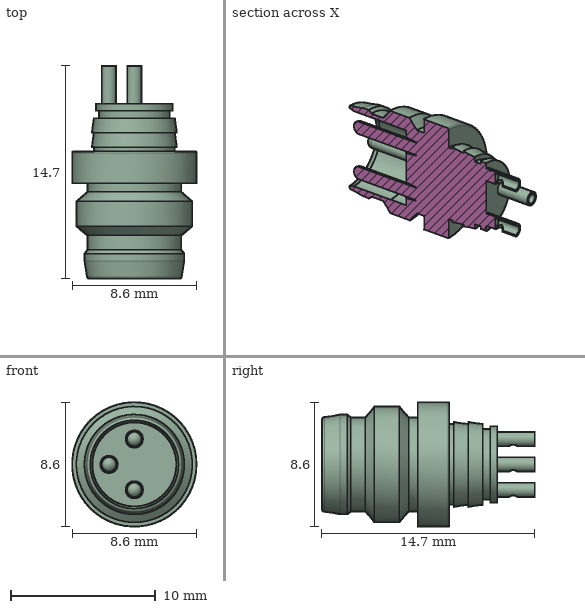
import cadquery as cq


BODY_RADIUS = 6.5 / 2
LIP_RADIUS = 6.9 / 2
RING_RADIUS = 8.0 / 2
FLANGE_RADIUS = 8.6 / 2
LIP_TAPER_END = 1.25
LIP_END = 1.75
NECK_START = 2.0
RING_START = 3.0
RING_FULL_START = 3.63
RING_FULL_END = 5.35
RING_END = 6.0
FLANGE_START = 6.6
FLANGE_END = 8.8
FLANGE_FILLET = 0.1
MOUTH_FILLET = 0.2

INSULATOR_RADIUS = 5.6 / 2
BARB_RADIUS = 5.88 / 2
GROOVE_RADIUS = 4.9 / 2
DISC_RADIUS = 5.3 / 2
FRONT_BARB_CREST = 9.1
BARB_PITCH = 1.0
REAR_BARB_CREST = FRONT_BARB_CREST + BARB_PITCH
GROOVE_START = REAR_BARB_CREST + BARB_PITCH
DISC_START = 11.6
DISC_END = 12.1

SOCKET_RADIUS = 5.8 / 2
SOCKET_REAR_RADIUS = 5.78 / 2
SOCKET_MOUTH_RADIUS = 3.05
SOCKET_TAPER_DEPTH = 0.43
SOCKET_STEP_DEPTH = 3.7
SOCKET_DEPTH = 5.0

PIN_RADIUS = 1.0 / 2
PIN_OFFSET = 1.75
PIN_POSITIONS = [(0, PIN_OFFSET), (-PIN_OFFSET, 0), (0, -PIN_OFFSET)]
PIN_TIP = 0.4
TAIL_END = 14.7
PIN_RECESS_RADIUS = 1.2 / 2
PIN_RECESS_DEPTH = 1.0
CUP_RADIUS = 0.7 / 2
VENT_RADIUS = 0.6 / 2
VENT_Y = 13.2
CUP_DEPTH = TAIL_END - VENT_Y + VENT_RADIUS


def revolve_about_y(profile):
    return profile.close().revolve(360, (0, 0, 0), (0, 1, 0))


def make_body():
    metal_shell = [
        (0, 0),
        (BODY_RADIUS, 0),
        (LIP_RADIUS, LIP_TAPER_END),
        (LIP_RADIUS, LIP_END),
        (BODY_RADIUS, NECK_START),
        (BODY_RADIUS, RING_START),
        (RING_RADIUS, RING_FULL_START),
        (RING_RADIUS, RING_FULL_END),
        (BODY_RADIUS, RING_END),
        (BODY_RADIUS, FLANGE_START),
        (FLANGE_RADIUS, FLANGE_START),
        (FLANGE_RADIUS, FLANGE_END - FLANGE_FILLET),
    ]
    flange_rear_corner = (FLANGE_RADIUS - FLANGE_FILLET, FLANGE_END)
    insulator = [
        (INSULATOR_RADIUS, FLANGE_END),
        (INSULATOR_RADIUS, FRONT_BARB_CREST),
        (BARB_RADIUS, FRONT_BARB_CREST),
        (INSULATOR_RADIUS, REAR_BARB_CREST),
        (BARB_RADIUS, REAR_BARB_CREST),
        (INSULATOR_RADIUS, GROOVE_START),
        (GROOVE_RADIUS, GROOVE_START),
        (GROOVE_RADIUS, DISC_START),
        (DISC_RADIUS, DISC_START),
        (DISC_RADIUS, DISC_END),
        (0, DISC_END),
    ]
    outline = (
        cq.Workplane("XY")
        .polyline(metal_shell)
        .radiusArc(flange_rear_corner, -FLANGE_FILLET)
        .polyline(insulator, includeCurrent=True)
    )
    return revolve_about_y(outline).faces("<Y").edges().fillet(MOUTH_FILLET)


def make_socket():
    outline = cq.Workplane("XY").polyline([
        (0, 0),
        (SOCKET_MOUTH_RADIUS, 0),
        (SOCKET_RADIUS, SOCKET_TAPER_DEPTH),
        (SOCKET_RADIUS, SOCKET_STEP_DEPTH),
        (SOCKET_REAR_RADIUS, SOCKET_STEP_DEPTH),
        (SOCKET_REAR_RADIUS, SOCKET_DEPTH),
        (0, SOCKET_DEPTH),
    ])
    return revolve_about_y(outline)


def make_pin():
    """Round-tipped pin on the Y axis."""
    outline = (
        cq.Workplane("XY")
        .moveTo(0, PIN_TIP)
        .radiusArc((PIN_RADIUS, PIN_TIP + PIN_RADIUS), -PIN_RADIUS)
        .lineTo(PIN_RADIUS, TAIL_END)
        .lineTo(0, TAIL_END)
    )
    return revolve_about_y(outline)


def make_pin_recess():
    """Conical recess in the socket floor, narrowing to the pin."""
    outline = cq.Workplane("XY").polyline([
        (0, SOCKET_DEPTH),
        (PIN_RECESS_RADIUS, SOCKET_DEPTH),
        (PIN_RADIUS, SOCKET_DEPTH + PIN_RECESS_DEPTH),
        (0, SOCKET_DEPTH + PIN_RECESS_DEPTH),
    ])
    return revolve_about_y(outline)


def make_solder_cup():
    """Blind bore in the tail end, vented by a hole through the lower wall."""
    bore = cq.Workplane("XZ", origin=(0, TAIL_END, 0)).circle(CUP_RADIUS).extrude(CUP_DEPTH)
    vent = cq.Workplane("XY", origin=(0, VENT_Y, 0)).circle(VENT_RADIUS).extrude(-PIN_RADIUS)
    return bore.union(vent)


result = make_body().cut(make_socket())
pin = make_pin()
pin_recess = make_pin_recess()
solder_cup = make_solder_cup()
for x, z in PIN_POSITIONS:
    result = result.cut(pin_recess.translate((x, 0, z)))
    result = result.union(pin.translate((x, 0, z)))
    result = result.cut(solder_cup.translate((x, 0, z)))